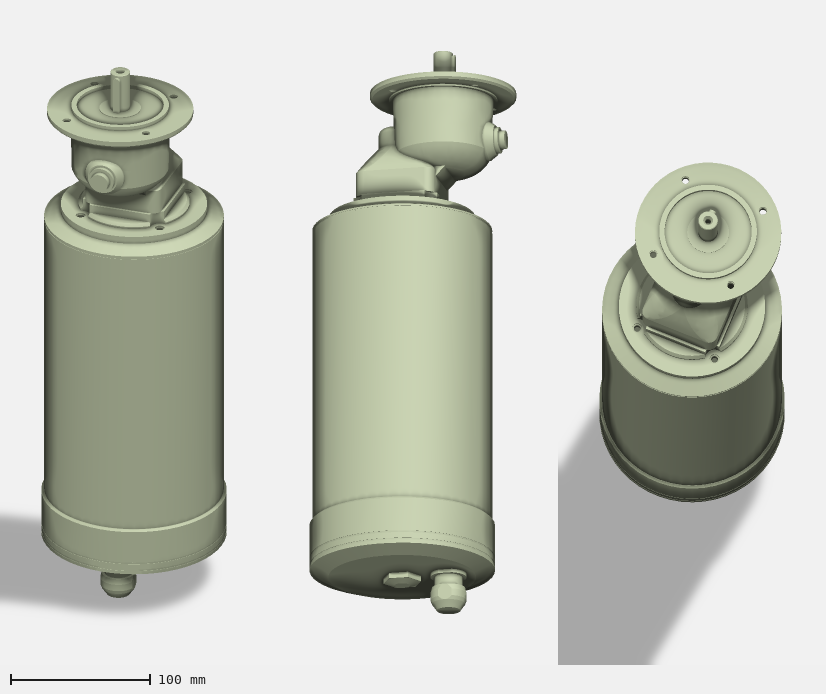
import cadquery as cq
import math

OVERALL_HEIGHT = 419.0

NEARLY_FULL_ROUND = 0.98

TUBE_DIA = 129.0
COVER_DIA = 133.0
COVER_FACE_DIA = 106.0
MOTOR_FLANGE_DIA = 105.0
COVER_FACE_Z = 27.5
COVER_SKIRT_Z = 32.5
COVER_LINE_Z = 35.0
COVER_GROOVE_Z = 40.5
COVER_TOP_Z = 68.0
COVER_TOP_CHAMFER = 1.5
TUBE_GROOVE_Z = 285.5
TUBE_TOP_Z = 288.0
MOTOR_RIM_Z = 292.3
MOTOR_FACE_Z = 297.7
GROOVE_WIDTH = 1.3
GROOVE_DEPTH = 0.3

BOLT_CIRCLE_DIA = 85.0
BOLT_OFFSET = BOLT_CIRCLE_DIA / 2 * math.sin(math.radians(45))
BOLT_CORE_DIA = 4.92
MOTOR_BOLT_MOUTH_DIA = 7.0
OUTPUT_BOLT_MOUTH_DIA = 6.0
BOLT_MOUTH_DEPTH = 1.0

SPIGOT_DIA = 80.0
SPIGOT_HEIGHT = 3.5
SPIGOT_CHAMFER = 2.0
BASE_WIDTH = 61.5
BASE_TOP_Z = 307.5
BOLT_RELIEF_RADIUS = 7.0
NECK_WIDTH = 57.5
NECK_CORNER_RADIUS = 6.5
NECK_TOP_Z = 325.5
HOOD_MIDDLE_WIDTH = 47.0
HOOD_MIDDLE_CORNER_RADIUS = 14.0
HOOD_MIDDLE_Y = 1.5
HOOD_MIDDLE_Z = 336.0
WEB_WIDTH = 38.0
WEB_FOOT_Z = 321.5
WEB_TOP_Z = 332.0
CAP_DIA = 26.0
CAP_CENTRE_Y = 4.0
CAP_BASE_Z = 348.8
CAP_TOP_Z = 364.0
CAP_ROUND = 5.0

GEARBOX_Y = -30.0
GEARBOX_TOP_DIA = 72.5
GEARBOX_LOW_DIA = 69.5
BOWL_FLOOR_DIA = 32.0
BOWL_BOTTOM_Z = 328.0
BOWL_TOP_Z = 342.0
BOWL_BULGE = 3.3

SHAFT_LENGTH = 30.0
FLANGE_FACE_Z = OVERALL_HEIGHT - SHAFT_LENGTH
FLANGE_DIA = 105.0
FLANGE_THICKNESS = 5.0
FLANGE_CHAMFER = 1.5
FLANGE_COLLAR_DIA = 78.0
FLANGE_COLLAR_HEIGHT = 1.2
PILOT_DIA = 70.0
PILOT_BORE_DIA = 62.5
PILOT_HEIGHT = 3.0
SEAL_DIA = 30.0
SEAL_HEIGHT = 0.6

SHAFT_DIA = 14.0
SHAFT_CHAMFER = 0.5
CENTRE_HOLE_DIA = 4.13
CENTRE_HOLE_DEPTH = 12.5
COUNTERSINK_DIA = 7.0
COUNTERSINK_ANGLE = 60.0
KEY_WIDTH = 5.0
KEY_HEIGHT_ABOVE_AXIS = 9.0
KEY_TOP_GAP = 2.0

PLUG_Z = 351.0
PLUG_BOSS_DIA = 29.0
PLUG_BOSS_TIP_DIA = 22.0
PLUG_BOSS_ROOT_REACH = 34.0
PLUG_BOSS_REACH = 39.0
PLUG_COLLAR_DIA = 19.0
PLUG_COLLAR_REACH = 42.0
PLUG_HEAD_DIA = 13.4
PLUG_HEAD_REACH = 46.3

GLAND_Y = -34.0
GLAND_DIA = 26.0
GLAND_FLATS_WIDTH = 24.0
GLAND_NECK_DIA = 20.0
GLAND_TIP_DIA = 17.0
GLAND_COLLAR_Z = 24.9
GLAND_BODY_TOP_Z = 16.8
GLAND_RING_TOP_Z = 12.8
GLAND_RING_BOTTOM_Z = 7.7
GLAND_TIP_CHAMFER_Z = 5.0
BREATHER_HEX_WIDTH = 24.0
BREATHER_HEX_BOTTOM_Z = 23.5
BREATHER_TIP_Z = 21.2
BREATHER_TIP_DIA = 11.0


def cylinder(diameter, bottom, top, y=0.0):
    return cq.Workplane("XY", origin=(0, y, bottom)).circle(diameter / 2).extrude(top - bottom)


def cone(lower_dia, upper_dia, bottom, top):
    profile = [(0, bottom), (lower_dia / 2, bottom), (upper_dia / 2, top), (0, top)]
    return cq.Workplane("XZ").polyline(profile).close().revolve(360, (0, 0, 0), (0, 1, 0))


def square_post(width, bottom, top):
    return cq.Workplane("XY", origin=(0, 0, bottom)).rect(width, width).extrude(top - bottom)


def bolt_cylinders(diameter, bottom, top, y=0.0):
    return (
        cq.Workplane("XY", origin=(0, y, bottom))
        .rect(2 * BOLT_OFFSET, 2 * BOLT_OFFSET, forConstruction=True)
        .vertices()
        .circle(diameter / 2)
        .extrude(top - bottom)
    )


def stepped_bolt_holes(mouth_dia, bottom, top, y=0.0):
    cores = bolt_cylinders(BOLT_CORE_DIA, bottom, top, y)
    return cores.union(bolt_cylinders(mouth_dia, top - BOLT_MOUTH_DEPTH, top, y))


def cut_ring_groove(body, diameter, z):
    groove = cylinder(diameter, z, z + GROOVE_WIDTH)
    groove = groove.cut(cylinder(diameter - 2 * GROOVE_DEPTH, z, z + GROOVE_WIDTH))
    return body.cut(groove)


def motor():
    tube = cylinder(TUBE_DIA, COVER_TOP_Z - COVER_TOP_CHAMFER, TUBE_TOP_Z)
    tube = cut_ring_groove(tube, TUBE_DIA, TUBE_GROOVE_Z)
    shoulder = cone(TUBE_DIA, MOTOR_FLANGE_DIA, TUBE_TOP_Z, MOTOR_RIM_Z)
    flange = cylinder(MOTOR_FLANGE_DIA, MOTOR_RIM_Z, MOTOR_FACE_Z)
    flange = flange.cut(stepped_bolt_holes(MOTOR_BOLT_MOUTH_DIA, MOTOR_RIM_Z, MOTOR_FACE_Z))
    return cover().union(tube).union(shoulder).union(flange)


def cover():
    skirt = cylinder(COVER_DIA, COVER_LINE_Z, COVER_TOP_Z).faces(">Z").chamfer(COVER_TOP_CHAMFER)
    skirt = cut_ring_groove(skirt, COVER_DIA, COVER_GROOVE_Z)
    skirt = cut_ring_groove(skirt, COVER_DIA, COVER_LINE_Z)
    lower_band = cylinder(COVER_DIA, COVER_SKIRT_Z, COVER_LINE_Z)
    end_face = cone(COVER_FACE_DIA, COVER_DIA, COVER_FACE_Z, COVER_SKIRT_Z)
    return skirt.union(lower_band).union(end_face)


def neck():
    spigot = cylinder(SPIGOT_DIA, MOTOR_FACE_Z, MOTOR_FACE_Z + SPIGOT_HEIGHT)
    spigot = spigot.faces(">Z").chamfer(SPIGOT_CHAMFER)
    base = square_post(BASE_WIDTH, MOTOR_FACE_Z, BASE_TOP_Z)
    relief = bolt_cylinders(2 * BOLT_RELIEF_RADIUS, MOTOR_FACE_Z, BASE_TOP_Z)
    post = square_post(NECK_WIDTH, BASE_TOP_Z, NECK_TOP_Z).edges("|Z").fillet(NECK_CORNER_RADIUS)
    lower_part = spigot.union(base).cut(relief).union(post)
    return lower_part.union(gearbox_web()).union(neck_hood()).union(neck_cap())


def neck_hood():
    """Square to round hood rising from the post to the cap."""

    def section(width, corner_radius, y, z):
        sketch = cq.Sketch().rect(width, width).vertices().fillet(corner_radius)
        return sketch.moved(cq.Location(cq.Vector(0, y, z)))

    sections = [
        section(NECK_WIDTH, NECK_CORNER_RADIUS, 0, NECK_TOP_Z),
        section(HOOD_MIDDLE_WIDTH, HOOD_MIDDLE_CORNER_RADIUS, HOOD_MIDDLE_Y, HOOD_MIDDLE_Z),
        section(CAP_DIA, CAP_DIA / 2 * NEARLY_FULL_ROUND, CAP_CENTRE_Y, CAP_BASE_Z),
    ]
    return cq.Workplane("XY").placeSketch(*sections).loft()


def gearbox_web():
    """Wedge that carries the gearbox bowl on the -Y face of the post."""
    face_y = -NECK_WIDTH / 2
    rise = WEB_TOP_Z - WEB_FOOT_Z
    profile = [(face_y, WEB_FOOT_Z), (face_y - rise, WEB_TOP_Z), (face_y + rise, WEB_TOP_Z), (0, WEB_FOOT_Z)]
    return cq.Workplane("YZ").polyline(profile).close().extrude(WEB_WIDTH / 2, both=True)


def neck_cap():
    cap = cylinder(CAP_DIA, CAP_BASE_Z, CAP_TOP_Z, CAP_CENTRE_Y)
    return cap.faces(">Z").edges().fillet(CAP_ROUND)


def gearbox():
    floor_radius = BOWL_FLOOR_DIA / 2
    low_radius = GEARBOX_LOW_DIA / 2
    bowl_width = low_radius - floor_radius
    bowl_height = BOWL_TOP_Z - BOWL_BOTTOM_Z
    chord = math.hypot(bowl_width, bowl_height)
    bowl_middle = (
        floor_radius + bowl_width / 2 + BOWL_BULGE * bowl_height / chord,
        BOWL_BOTTOM_Z + bowl_height / 2 - BOWL_BULGE * bowl_width / chord,
    )
    housing_top = FLANGE_FACE_Z - FLANGE_THICKNESS
    housing = (
        cq.Workplane("XZ")
        .moveTo(0, BOWL_BOTTOM_Z)
        .lineTo(floor_radius, BOWL_BOTTOM_Z)
        .threePointArc(bowl_middle, (low_radius, BOWL_TOP_Z))
        .lineTo(GEARBOX_TOP_DIA / 2, housing_top)
        .lineTo(0, housing_top)
        .close()
        .revolve(360, (0, 0, 0), (0, 1, 0))
        .translate((0, GEARBOX_Y, 0))
    )
    return housing.union(output_flange()).union(oil_plug())


def output_flange():
    back = FLANGE_FACE_Z - FLANGE_THICKNESS
    pilot_top = FLANGE_FACE_Z + PILOT_HEIGHT
    plate = cylinder(FLANGE_DIA, back, FLANGE_FACE_Z, GEARBOX_Y).faces("<Z").chamfer(FLANGE_CHAMFER)
    plate = plate.cut(stepped_bolt_holes(OUTPUT_BOLT_MOUTH_DIA, back, FLANGE_FACE_Z, GEARBOX_Y))
    collar = cylinder(FLANGE_COLLAR_DIA, back - FLANGE_COLLAR_HEIGHT, back, GEARBOX_Y)
    pilot = cylinder(PILOT_DIA, FLANGE_FACE_Z, pilot_top, GEARBOX_Y)
    pilot = pilot.cut(cylinder(PILOT_BORE_DIA, FLANGE_FACE_Z, pilot_top, GEARBOX_Y))
    seal = cylinder(SEAL_DIA, FLANGE_FACE_Z, FLANGE_FACE_Z + SEAL_HEIGHT, GEARBOX_Y)
    return plate.union(collar).union(pilot).union(seal)


def output_shaft():
    shaft = cylinder(SHAFT_DIA, FLANGE_FACE_Z, OVERALL_HEIGHT, GEARBOX_Y)
    shaft = shaft.faces(">Z").chamfer(SHAFT_CHAMFER)
    key_length = SHAFT_LENGTH - KEY_TOP_GAP
    key = (
        cq.Workplane("XY", origin=(0, GEARBOX_Y, FLANGE_FACE_Z))
        .center(0, -KEY_HEIGHT_ABOVE_AXIS / 2)
        .rect(KEY_WIDTH, KEY_HEIGHT_ABOVE_AXIS)
        .extrude(key_length)
        .edges(">Z and |Y")
        .fillet(KEY_WIDTH / 2 * NEARLY_FULL_ROUND)
    )
    keyed_shaft = shaft.union(key)
    return (
        keyed_shaft.faces(">Z")
        .workplane(origin=(0, GEARBOX_Y, OVERALL_HEIGHT))
        .cskHole(CENTRE_HOLE_DIA, COUNTERSINK_DIA, COUNTERSINK_ANGLE, CENTRE_HOLE_DEPTH)
    )


def oil_plug():
    def plane_at(reach):
        return cq.Workplane("XZ", origin=(0, GEARBOX_Y - reach, PLUG_Z))

    boss = (
        plane_at(PLUG_BOSS_ROOT_REACH)
        .circle(PLUG_BOSS_DIA / 2)
        .workplane(offset=PLUG_BOSS_REACH - PLUG_BOSS_ROOT_REACH)
        .circle(PLUG_BOSS_TIP_DIA / 2)
        .loft()
    )
    boss_root = plane_at(0).circle(PLUG_BOSS_DIA / 2).extrude(PLUG_BOSS_ROOT_REACH)
    collar = plane_at(PLUG_BOSS_REACH).circle(PLUG_COLLAR_DIA / 2)
    collar = collar.extrude(PLUG_COLLAR_REACH - PLUG_BOSS_REACH)
    head = plane_at(PLUG_COLLAR_REACH).circle(PLUG_HEAD_DIA / 2)
    head = head.extrude(PLUG_HEAD_REACH - PLUG_COLLAR_REACH)
    return boss_root.union(boss).union(collar).union(head)


def cable_gland():
    """Turned gland whose nut swells to a middle ring and carries two flats facing +X and -X."""
    radius = GLAND_DIA / 2
    shoulder_radius = GLAND_FLATS_WIDTH / 2
    neck_radius = GLAND_NECK_DIA / 2
    profile = [
        (0, 0),
        (GLAND_TIP_DIA / 2, 0),
        (shoulder_radius, GLAND_TIP_CHAMFER_Z),
        (radius, GLAND_RING_BOTTOM_Z),
        (radius, GLAND_RING_TOP_Z),
        (shoulder_radius, GLAND_BODY_TOP_Z),
        (neck_radius, GLAND_BODY_TOP_Z),
        (neck_radius, GLAND_COLLAR_Z),
        (radius, GLAND_COLLAR_Z),
        (radius, COVER_SKIRT_Z),
        (0, COVER_SKIRT_Z),
    ]
    body = cq.Workplane("XZ").polyline(profile).close().revolve(360, (0, 0, 0), (0, 1, 0))
    flats = cq.Workplane("XY").rect(GLAND_FLATS_WIDTH, 2 * GLAND_DIA).extrude(COVER_SKIRT_Z)
    return body.intersect(flats).translate((0, GLAND_Y, 0))


def breather():
    corner_dia = BREATHER_HEX_WIDTH / math.cos(math.radians(30))
    head = (
        cq.Workplane("XY", origin=(0, 0, BREATHER_HEX_BOTTOM_Z))
        .transformed(rotate=(0, 0, 90))
        .polygon(6, corner_dia)
        .extrude(COVER_FACE_Z - BREATHER_HEX_BOTTOM_Z)
    )
    tip = cone(BREATHER_TIP_DIA, BREATHER_HEX_WIDTH, BREATHER_TIP_Z, BREATHER_HEX_BOTTOM_Z)
    return head.union(tip)


result = motor()
for component in (neck(), gearbox(), output_shaft(), cable_gland(), breather()):
    result = result.union(component)